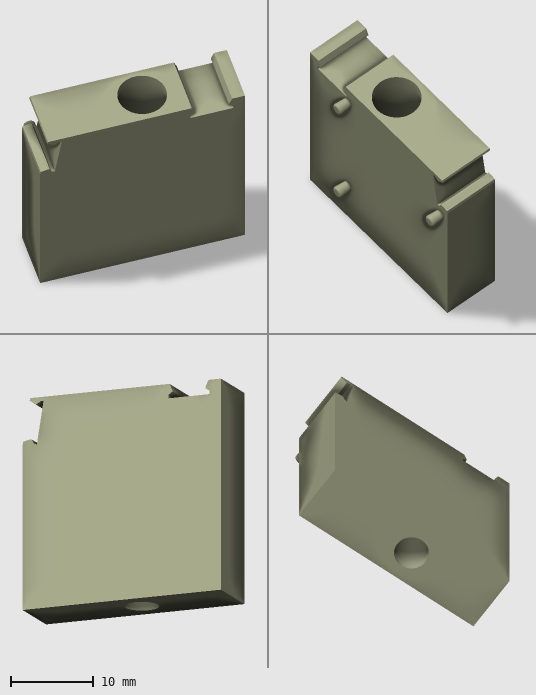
import cadquery as cq

width = 7.5
depth = 25.85
height = 26.3

slot_back = 1.47
slot_front = 6.86
slot_depth = 1.8
slot_wall_top = 1.37
lip_tip_depth = 0.87
lip_tip_height = 0.13
lip_overhang = 0.55
lip_mouth_relief = 0.4

ledge_end = 24.83
ledge_nose = 24.93
ledge_nose_depth = 0.32
barb_tip = 24.1
barb_depth = 0.87
barb_root = 23.49
notch_back = 23.12
notch_roof_depth = 0.53

notch_bottom = 23.99
notch_bottom_depth = 5.86
lip_foot = 24.4
lip_foot_depth = 5.68
lip_back = 24.65
lip_back_depth = 5.18
lip_crest = 24.88
lip_crest_depth = 5.15
lip_front = 25.77
lip_front_depth = 5.35
front_face_depth = 5.75

bore_diameter = 4.2
counterbore_diameter = 6.0
counterbore_depth = height / 2
bore_from_back = 11.84

pin_centers = [(7.1, 2.81), (24.45, 7.4), (7.1, 19.95)]
pin_length = 1.75
pin_root_radius = 0.65
pin_head_radius = 0.75
pin_head_band = 0.08
pin_tip_rounding = 0.3


def place(from_back, below_top):
    """Convert distances from the back and top faces to (Y, Z)."""
    return (-from_back, height - below_top)


def make_body():
    back_lip_tip = slot_back + lip_overhang
    front_lip_tip = slot_front - lip_overhang
    outline = [
        (0, height),
        (0, 0),
        (back_lip_tip - lip_mouth_relief, 0),
        (back_lip_tip, lip_tip_depth),
        (back_lip_tip, lip_tip_depth + lip_tip_height),
        (slot_back, slot_wall_top),
        (slot_back, slot_depth),
        (slot_front, slot_depth),
        (slot_front, slot_wall_top),
        (front_lip_tip, lip_tip_depth + lip_tip_height),
        (front_lip_tip, lip_tip_depth),
        (front_lip_tip + lip_mouth_relief, 0),
        (ledge_end, 0),
        (ledge_nose, ledge_nose_depth),
        (barb_tip, barb_depth),
        (barb_root, notch_roof_depth),
        (notch_back, notch_roof_depth),
        (notch_bottom, notch_bottom_depth),
        (lip_foot, lip_foot_depth),
        (lip_back, lip_back_depth),
        (lip_crest, lip_crest_depth),
        (lip_front, lip_front_depth),
        (depth, front_face_depth),
        (depth, height),
    ]
    points = [place(*point) for point in outline]
    return cq.Workplane("YZ").polyline(points).close().extrude(width)


def make_bore():
    """Through bore with a counterbore from the top face."""
    center = (width / 2, -bore_from_back)
    bore = cq.Workplane("XY").center(*center).circle(bore_diameter / 2).extrude(height)
    counterbore = (
        cq.Workplane("XY", origin=(0, 0, height))
        .center(*center)
        .circle(counterbore_diameter / 2)
        .extrude(-counterbore_depth)
    )
    return bore.union(counterbore)


def make_pin(from_back, below_top):
    """Pin that flares from its root to a rounded head, pointing along -X."""
    y, z = place(from_back, below_top)
    shoulder = pin_length - pin_tip_rounding
    arc_offset = pin_tip_rounding * 0.5 ** 0.5
    arc_middle = (-shoulder - arc_offset, pin_head_radius - pin_tip_rounding + arc_offset)
    return (
        cq.Workplane("XY")
        .lineTo(0, pin_root_radius)
        .lineTo(-shoulder + pin_head_band, pin_head_radius)
        .lineTo(-shoulder, pin_head_radius)
        .threePointArc(arc_middle, (-pin_length, pin_head_radius - pin_tip_rounding))
        .lineTo(-pin_length, 0)
        .close()
        .revolve(360, (0, 0, 0), (1, 0, 0))
        .translate((0, y, z))
    )


result = make_body().cut(make_bore())
for pin_center in pin_centers:
    result = result.union(make_pin(*pin_center))